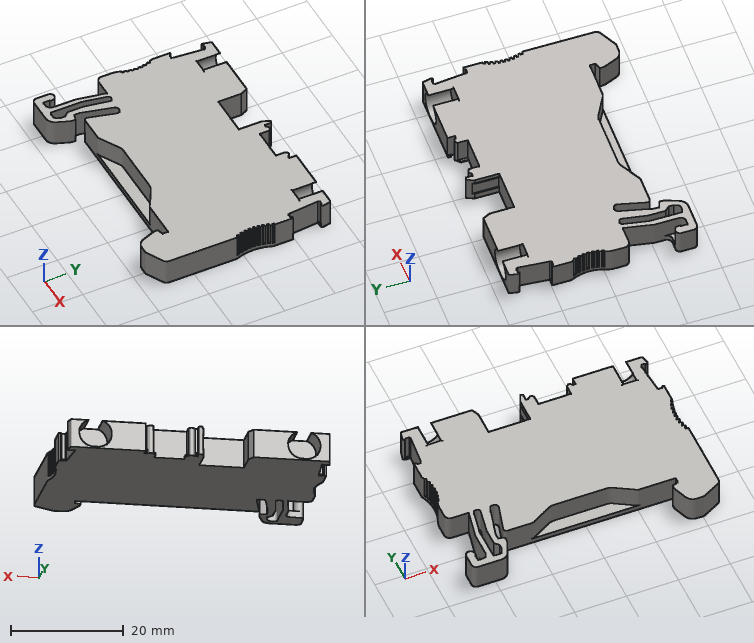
import cadquery as cq
import math

LENGTH = 48.4
HEIGHT = 35.3
THICK = 5.2
BODY_LEFT = 0.2
CENTRE_X = (BODY_LEFT + LENGTH) / 2
UNDERSIDE_Y = 6.0
OVERCUT = 0.5

SHOULDER_Y = 27.4
CATCH_Y = 33.25
CATCH_RECESS = 0.35
CATCH_PLATE = 0.3

NOTCH_LEFT = 15.4
NOTCH_RIGHT = 23.43
NOTCH_FLOOR_Y = 29.3
NOTCH_CHAMFER_Y = 33.9
WALL_PANEL_DEPTH = 0.2
WALL_PANEL_TOP_Y = 34.3
WALL_PANEL_Z = (1.35, 4.1)

MARKER_X = 29.35
MARKER_FLOOR_Y = 32.05
MARKER_HALF = 2.65
MARKER_UNDERCUT = 0.5
LIP_HALF = 4.45
LIP_DEPTH = 0.35
LIP_BOTTOM_Y = 34.65

ENTRY_XS_AND_DEPTHS = ((5.55, 4.65), (43.15, 4.8))
ENTRY_RADIUS = 2.5
ENTRY_FLAT = 0.8
ENTRY_FLOOR_Z = 0.3

GRIP_LEFT_Y = 20.25
GRIP_LEFT_RADIUS = 7.75
GRIP_LEFT_SAG = 0.85
GRIP_LEFT_LOWER_BLEND = 4.35
GRIP_RIGHT_Y = 19.8
GRIP_RIGHT_RADIUS = 9.2
GRIP_RIGHT_SAG = 0.75
GRIP_RIGHT_LOWER_BLEND = 2.4
GRIP_UPPER_BLEND = 0.7
GRIP_PLATE = 0.8
GROOVE_PITCH = 0.85
GROOVE_FLOOR_HALF = 0.15
GROOVE_MOUTH_HALF = 0.25
GROOVE_LEFT_TOP_Y = 23.0
GROOVE_LEFT_COUNT = 7
GROOVE_LEFT_DEPTH = 0.2
GROOVE_RIGHT_TOP_Y = 23.5
GROOVE_RIGHT_COUNT = 9
GROOVE_RIGHT_DEPTH = 0.4

POCKET_LEFT = 14.1
POCKET_RIGHT = 34.3
POCKET_TOP_LEFT = 18.55
POCKET_TOP_RIGHT = 29.85
POCKET_DEPTH = 2.5
POCKET_FLOOR_Z = 1.05
POCKET_BLEND = 2.2
POCKET_RIM_BLEND = 0.95

LEG_ROOT_Y = 12.7
LEG_KINK_Y = 7.05
LEG_LEFT = 3.4
HOOK_TOP_Y = 4.05
HOOK_WEB = 1.2


def rounded_profile(corners):
    """Closed wire through (x, y) or (x, y, radius) corners, rounding each given radius."""
    count = len(corners)
    ends = []
    for i, corner in enumerate(corners):
        point = cq.Vector(corner[0], corner[1])
        radius = corner[2] if len(corner) > 2 else 0
        if radius == 0:
            ends.append((point, None, point))
            continue
        before = corners[i - 1]
        after = corners[(i + 1) % count]
        back = (cq.Vector(before[0], before[1]) - point).normalized()
        ahead = (cq.Vector(after[0], after[1]) - point).normalized()
        half_angle = back.getAngle(ahead) / 2
        tangent = radius / math.tan(half_angle)
        to_arc = radius / math.sin(half_angle) - radius
        middle = point + (back + ahead).normalized() * to_arc
        ends.append((point + back * tangent, middle, point + ahead * tangent))
    first = ends[0][2]
    wire = cq.Workplane("XY").moveTo(first.x, first.y)
    for start, middle, end in ends[1:] + ends[:1]:
        wire = wire.lineTo(start.x, start.y)
        if middle is not None:
            wire = wire.threePointArc((middle.x, middle.y), (end.x, end.y))
    return wire.close()


def prism(corners, bottom=0.0, top=THICK):
    """Extruded profile between two heights."""
    return rounded_profile(corners).extrude(top - bottom).translate((0, 0, bottom))


def box(x_range, y_range, bottom=0.0, top=THICK):
    """Box between two X, two Y and two Z limits."""
    (x0, x1), (y0, y1) = x_range, y_range
    return prism([(x0, y0), (x1, y0), (x1, y1), (x0, y1)], bottom, top)


def mirrored(corners, axis_x):
    """The same corners reflected about x = axis_x, in reverse order."""
    return [(2 * axis_x - c[0],) + tuple(c[1:]) for c in reversed(corners)]


left_shoulder = [
    (BODY_LEFT, SHOULDER_Y),
    (1.55, SHOULDER_Y),
    (2.1, CATCH_Y),
    (0.6, CATCH_Y, 0.4),
    (1.0, HEIGHT, 0.25),
]
marker_left = [
    (24.3, HEIGHT, 0.15),
    (MARKER_X - LIP_HALF, 34.95),
    (MARKER_X - LIP_HALF, LIP_BOTTOM_Y),
    (24.55, LIP_BOTTOM_Y),
    (24.55, 33.9),
    (24.97, 33.9),
    (25.45, 34.3, 0.2),
    (25.85, 34.3, 0.2),
    (MARKER_X - MARKER_HALF, 33.45),
    (MARKER_X - MARKER_HALF, MARKER_FLOOR_Y),
]
marker_right = mirrored(marker_left[2:], MARKER_X) + [(MARKER_X + LIP_HALF, HEIGHT, 0.15)]
right_foot = [
    (LENGTH, 2.1, 1.0),
    (44.5, 0, 0.65),
    (41.75, 0, 1.85),
    (40.3, 3.75, 2.4),
    (40.3, 4.55),
    (41.55, 4.95),
    (41.55, UNDERSIDE_Y),
]
leg_and_hook = [
    (8.4, UNDERSIDE_Y, 0.55),
    (10.15, LEG_ROOT_Y, 0.75),
    (8.5, LEG_ROOT_Y, 0.75),
    (6.85, 6.05),
    (6.85, 5.0),
    (8.1, 4.6),
    (8.1, 3.75, 2.4),
    (6.65, 0, 1.85),
    (0, 0, 0.9),
    (0, HOOK_TOP_Y, 0.8),
    (1.7, HOOK_TOP_Y, 0.8),
    (1.7, 2.75),
    (1.55, 2.75),
    (1.55, 1.5),
    (LEG_LEFT, 1.5, 0.95),
    (LEG_LEFT, LEG_KINK_Y),
    (4.5, LEG_ROOT_Y),
    (BODY_LEFT, LEG_ROOT_Y, 1.05),
]
outline = (
    left_shoulder
    + [
        (14.7, HEIGHT),
        (NOTCH_LEFT, NOTCH_CHAMFER_Y),
        (NOTCH_LEFT, NOTCH_FLOOR_Y),
        (NOTCH_RIGHT, NOTCH_FLOOR_Y),
        (NOTCH_RIGHT, NOTCH_CHAMFER_Y),
        (24.0, HEIGHT, 0.15),
    ]
    + marker_left
    + marker_right
    + mirrored(left_shoulder, CENTRE_X)
    + right_foot
    + leg_and_hook
)
result = prism(outline)


leg_slit = [
    (5.4, 12.8, 0.55),
    (6.7, 12.8, 0.55),
    (5.7, 7.4),
    (5.7, 4.2),
    (6.5, 3.35),
    (6.5, 2.4),
    (6.0, 1.35, 0.65),
    (4.45, 1.35, 0.45),
    (4.45, 7.7),
]
result = result.cut(prism(leg_slit))

hook_web = [
    (0.8, HOOK_TOP_Y),
    (LEG_LEFT, HOOK_TOP_Y, 1.05),
    (LEG_LEFT, 5.3),
    (3.85, 5.3),
    (3.85, 0.95),
    (0.8, 0.95),
]
result = result.union(prism(hook_web, 0, HOOK_WEB))


def cut_grip(
    part, wall_x, inward, centre_y, radius, sag, lower_blend, groove_top_y, groove_count, groove_depth
):
    """Hollow one end wall, blend the rims of the hollow and cut tapered grooves above the plate.

    inward is +1 where the hollow goes toward +X and -1 where it goes toward -X.
    """
    axis_x = wall_x + inward * (sag - radius)
    part = part.cut(cq.Workplane("XY", (axis_x, centre_y, 0)).circle(radius).extrude(THICK))

    half_chord = math.sqrt(radius**2 - (radius - sag) ** 2)
    for side, blend in ((1, GRIP_UPPER_BLEND), (-1, lower_blend)):
        rim = cq.selectors.NearestToPointSelector((wall_x, centre_y + side * half_chord, THICK / 2))
        part = part.edges("|Z").edges(rim).fillet(blend)

    for i in range(groove_count):
        y = groove_top_y - i * GROOVE_PITCH
        surface_x = axis_x + inward * math.sqrt(radius**2 - (y - centre_y) ** 2)
        floor_x = surface_x + inward * groove_depth
        open_x = surface_x - inward * groove_depth
        open_half = 2 * GROOVE_MOUTH_HALF - GROOVE_FLOOR_HALF
        groove = [
            (open_x, y - open_half),
            (floor_x, y - GROOVE_FLOOR_HALF),
            (floor_x, y + GROOVE_FLOOR_HALF),
            (open_x, y + open_half),
        ]
        part = part.cut(prism(groove, GRIP_PLATE))
    return part


result = cut_grip(
    result,
    wall_x=BODY_LEFT,
    inward=1,
    centre_y=GRIP_LEFT_Y,
    radius=GRIP_LEFT_RADIUS,
    sag=GRIP_LEFT_SAG,
    lower_blend=GRIP_LEFT_LOWER_BLEND,
    groove_top_y=GROOVE_LEFT_TOP_Y,
    groove_count=GROOVE_LEFT_COUNT,
    groove_depth=GROOVE_LEFT_DEPTH,
)
result = cut_grip(
    result,
    wall_x=LENGTH,
    inward=-1,
    centre_y=GRIP_RIGHT_Y,
    radius=GRIP_RIGHT_RADIUS,
    sag=GRIP_RIGHT_SAG,
    lower_blend=GRIP_RIGHT_LOWER_BLEND,
    groove_top_y=GROOVE_RIGHT_TOP_Y,
    groove_count=GROOVE_RIGHT_COUNT,
    groove_depth=GROOVE_RIGHT_DEPTH,
)


hook_recess = [
    (0.9, CATCH_Y),
    (1.15, CATCH_Y + CATCH_RECESS),
    (1.9, CATCH_Y + CATCH_RECESS),
    (2.1, CATCH_Y),
]
shoulder_recess = [
    (0.55, SHOULDER_Y),
    (0.77, SHOULDER_Y - CATCH_RECESS),
    (1.4, SHOULDER_Y - CATCH_RECESS),
    (1.55, SHOULDER_Y),
]
for recess in (hook_recess, shoulder_recess):
    result = result.cut(prism(recess, CATCH_PLATE))
    result = result.cut(prism(mirrored(recess, CENTRE_X), CATCH_PLATE))

marker_undercut = box(
    (MARKER_X - MARKER_HALF - MARKER_UNDERCUT, MARKER_X + MARKER_HALF + MARKER_UNDERCUT),
    (MARKER_FLOOR_Y, HEIGHT),
    CATCH_PLATE,
)
lip_inner = LIP_HALF + LIP_DEPTH
lip_clearance = box(
    (MARKER_X - lip_inner, MARKER_X + lip_inner),
    (LIP_BOTTOM_Y, HEIGHT),
    CATCH_PLATE,
)
result = result.cut(marker_undercut).cut(lip_clearance)

result = result.cut(
    box(
        (NOTCH_RIGHT, NOTCH_RIGHT + WALL_PANEL_DEPTH),
        (NOTCH_FLOOR_Y, WALL_PANEL_TOP_Y),
        *WALL_PANEL_Z,
    )
)


for entry_x, entry_depth in ENTRY_XS_AND_DEPTHS:
    bore = (
        cq.Workplane("XZ", (entry_x, HEIGHT, ENTRY_FLOOR_Z + ENTRY_RADIUS))
        .slot2D(ENTRY_FLAT + 2 * ENTRY_RADIUS, 2 * ENTRY_RADIUS)
        .extrude(entry_depth)
    )
    result = result.cut(bore)


pocket = [
    (POCKET_LEFT - OVERCUT, UNDERSIDE_Y - OVERCUT),
    (POCKET_LEFT - OVERCUT, UNDERSIDE_Y),
    (POCKET_LEFT, UNDERSIDE_Y, POCKET_RIM_BLEND),
    (POCKET_TOP_LEFT, UNDERSIDE_Y + POCKET_DEPTH, POCKET_BLEND),
    (POCKET_TOP_RIGHT, UNDERSIDE_Y + POCKET_DEPTH, POCKET_BLEND),
    (POCKET_RIGHT, UNDERSIDE_Y, POCKET_RIM_BLEND),
    (POCKET_RIGHT + OVERCUT, UNDERSIDE_Y),
    (POCKET_RIGHT + OVERCUT, UNDERSIDE_Y - OVERCUT),
]
result = result.cut(prism(pocket, POCKET_FLOOR_Z))